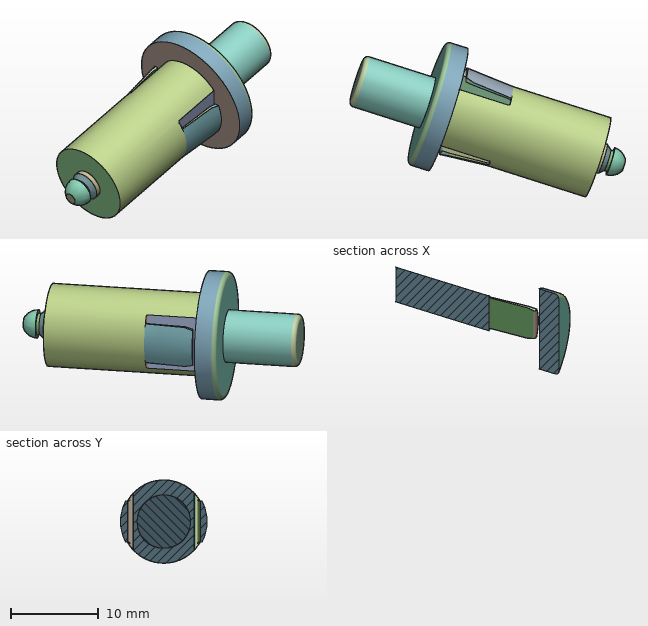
import cadquery as cq

TOTAL_LENGTH = 32.0
REAR_Y = TOTAL_LENGTH / 2
TIP_Y = -TOTAL_LENGTH / 2

FLANGE_RADIUS = 14.7 / 2
FLANGE_THICKNESS = 2.5
BARREL_RADIUS = 9.5 / 2
BARREL_LENGTH = 18.0
EDGE_ROUND = 0.5

ROD_RADIUS = 6.0 / 2
ROD_PROJECTION = 8.4
COLLAR_RADIUS = 3.5 / 2
COLLAR_PROJECTION = 0.58
NECK_RADIUS = 2.5 / 2
NECK_TAPER_LENGTH = 0.58
NECK_LENGTH = 0.35
HEAD_RADIUS = 1.63
HEAD_TIP_RADIUS = 0.67
HEAD_BULGE = 0.25

CORE_HALF_WIDTH = 3.5
SLOT_DEPTH = 6.27
SLOT_ROUND = 0.2
TONGUE_WIDTH = 4.7
TONGUE_TIP_WIDTH = 4.2
TONGUE_TIP_TAPER = 0.95
TONGUE_TIP_GAP = 0.67
TONGUE_TIP_RADIUS = 5.2
TONGUE_ROOT_ROUND = 0.15
TONGUE_TIP_ROUND = 0.2
TONGUE_ROOT_INNER_X = 3.97
TONGUE_TIP_INNER_X = 4.3

FLANGE_REAR_Y = REAR_Y - ROD_PROJECTION
FLANGE_FRONT_Y = FLANGE_REAR_Y - FLANGE_THICKNESS
BARREL_END_Y = FLANGE_FRONT_Y - BARREL_LENGTH
SLOT_END_Y = FLANGE_FRONT_Y - SLOT_DEPTH
TONGUE_TIP_Y = FLANGE_FRONT_Y - TONGUE_TIP_GAP
END_WALL = BARREL_RADIUS - ROD_RADIUS
SHOULDER_Y = BARREL_END_Y + END_WALL
COLLAR_END_Y = BARREL_END_Y - COLLAR_PROJECTION
NECK_START_Y = COLLAR_END_Y - NECK_TAPER_LENGTH
HEAD_START_Y = NECK_START_Y - NECK_LENGTH


def cylinder(radius, start_y, end_y):
    """Cylinder about Y, from start_y up to end_y."""
    plane = cq.Workplane("XZ", origin=(0, start_y, 0))
    return plane.circle(radius).extrude(start_y - end_y)


def revolve_about_y(profile):
    return profile.close().revolve(360, (0, 0, 0), (0, 1, 0))


def make_tongue():
    """Tongue on the +X side: conical outside, flat leaning inside, tapered tip, flared root."""
    half_width = TONGUE_WIDTH / 2
    half_tip_width = TONGUE_TIP_WIDTH / 2
    flare = TONGUE_ROOT_ROUND
    flare_end_y = SLOT_END_Y + flare
    cone = revolve_about_y(
        cq.Workplane("XY")
        .moveTo(0, SLOT_END_Y)
        .lineTo(BARREL_RADIUS, SLOT_END_Y)
        .lineTo(TONGUE_TIP_RADIUS, TONGUE_TIP_Y)
        .lineTo(0, TONGUE_TIP_Y)
    )
    side_profile = (
        cq.Workplane("XY", origin=(0, 0, -half_width - flare))
        .moveTo(TONGUE_ROOT_INNER_X - flare, SLOT_END_Y)
        .radiusArc((TONGUE_ROOT_INNER_X, flare_end_y), -flare)
        .lineTo(TONGUE_TIP_INNER_X, TONGUE_TIP_Y)
        .lineTo(FLANGE_RADIUS, TONGUE_TIP_Y)
        .lineTo(FLANGE_RADIUS, SLOT_END_Y)
        .close()
        .extrude(TONGUE_WIDTH + 2 * flare)
        .faces(">Y")
        .edges("<X")
        .fillet(TONGUE_TIP_ROUND)
    )
    taper_start_y = TONGUE_TIP_Y - TONGUE_TIP_TAPER
    width_outline = (
        cq.Workplane("YZ")
        .moveTo(SLOT_END_Y, -half_width - flare)
        .radiusArc((flare_end_y, -half_width), flare)
        .lineTo(taper_start_y, -half_width)
        .lineTo(TONGUE_TIP_Y, -half_tip_width)
        .lineTo(TONGUE_TIP_Y, half_tip_width)
        .lineTo(taper_start_y, half_width)
        .lineTo(flare_end_y, half_width)
        .radiusArc((SLOT_END_Y, half_width + flare), flare)
        .close()
        .extrude(FLANGE_RADIUS)
    )
    return cone.intersect(side_profile).intersect(width_outline)


def make_slot():
    """Open space around the +X tongue, down to the flat side of the core."""
    slot_width = FLANGE_RADIUS - CORE_HALF_WIDTH
    slot = cq.Workplane("XY").box(
        slot_width, SLOT_DEPTH, 2 * BARREL_RADIUS, centered=(False, False, True)
    )
    slot = slot.edges("<X and <Y").fillet(SLOT_ROUND)
    return slot.translate((CORE_HALF_WIDTH, SLOT_END_Y, 0))


def make_housing():
    flange = cylinder(FLANGE_RADIUS, FLANGE_FRONT_Y, FLANGE_REAR_Y)
    flange = flange.faces(">Y").edges().fillet(EDGE_ROUND)
    barrel = cylinder(BARREL_RADIUS, BARREL_END_Y, FLANGE_FRONT_Y)
    slot = make_slot()
    tongue = make_tongue()
    for turn in (0, 180):
        barrel = barrel.cut(slot.rotate((0, 0, 0), (0, 1, 0), turn))
        barrel = barrel.union(tongue.rotate((0, 0, 0), (0, 1, 0), turn))
    rod_bore = cylinder(ROD_RADIUS, SHOULDER_Y, FLANGE_REAR_Y)
    collar_hole = cylinder(COLLAR_RADIUS, BARREL_END_Y, SHOULDER_Y)
    return flange.union(barrel).cut(rod_bore).cut(collar_hole).solids()


def make_buffer():
    rod = cylinder(ROD_RADIUS, SHOULDER_Y, REAR_Y)
    rod = rod.faces(">Y").edges().fillet(EDGE_ROUND)

    nipple = revolve_about_y(
        cq.Workplane("XY")
        .moveTo(0, SHOULDER_Y)
        .lineTo(COLLAR_RADIUS, SHOULDER_Y)
        .lineTo(COLLAR_RADIUS, COLLAR_END_Y)
        .lineTo(NECK_RADIUS, NECK_START_Y)
        .lineTo(NECK_RADIUS, HEAD_START_Y)
        .lineTo(HEAD_RADIUS, HEAD_START_Y)
        .sagittaArc((HEAD_TIP_RADIUS, TIP_Y), HEAD_BULGE)
        .lineTo(0, TIP_Y)
    )
    return rod.union(nipple).solids()


housing = make_housing()
buffer = make_buffer()
result = cq.Compound.makeCompound([housing.val(), buffer.val()])